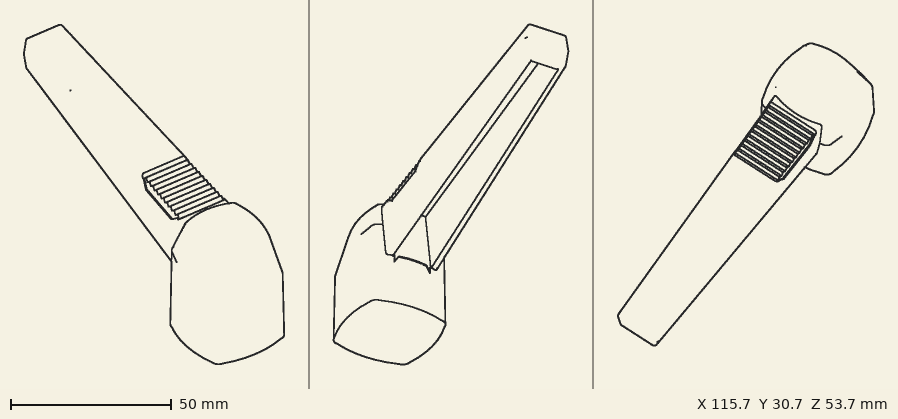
import cadquery as cq
import math


LENGTH = 115.7
BASE_WIDTH = 30.7
BASE_HALF = BASE_WIDTH / 2
PARTING_HALF = 14.9
TOP_HALF_X = 11.5
TOP_HALF_Y = 11.0
PARTING_HEIGHT = 26.5
PARTING_TILT = 12.0
TOP_HEIGHT = 39.6
TOP_TILT = 3.0
SIDE_SPAN = 0.72
SIDE_BULGE = 0.12
CORNER_POINT = 0.83
TOP_FILLET = 1.0

TIP_X = BASE_HALF - LENGTH
TIP_TOP = 53.9
TIP_MIDDLE = 48.2
TIP_BOTTOM = 41.9
TIP_HALF_WIDTHS = (6.7, 7.6, 6.6)
ROOT_TOP = 36.8
ROOT_BOTTOM = 14.1
ROOT_HALF_WIDTHS = (9.0, 10.3, 9.5)
ARM_FILLET = 0.9
EDGE_REACH = 1.2

TIP_WALL = 2.3
ROOF_WALL = 2.2
CHANNEL_TIP_HALF_WIDTHS = (3.4, 4.9)
CHANNEL_ROOT_HALF_WIDTHS = (5.1, 7.0)
CHANNEL_END_X = -5.8
END_RECESS = 0.3
NOTCH_INNER = 4.9
NOTCH_OUTER = 6.4
NOTCH_DEPTH = 2.3

GROOVE_COUNT = 11
GROOVE_PITCH = 2.0
GROOVE_DEPTH = 1.0
FIRST_GROOVE_X = -33.8
GRIP_HALF_WIDTH = 8.1
GRIP_SIDE_HEIGHT = 3.6
GRIP_SIDE_DRAFT = 7.0
GRIP_TOP_START, GRIP_TOP_END = -34.1, -13.7
GRIP_BOTTOM_START, GRIP_BOTTOM_END = -31.7, -17.4
GRIP_CUT_DEPTH = 5.8

top_slope = (ROOT_TOP - TIP_TOP) / -TIP_X
bottom_slope = (ROOT_BOTTOM - TIP_BOTTOM) / -TIP_X


def arm_top(x):
    return ROOT_TOP + top_slope * x


def arm_bottom(x):
    return ROOT_BOTTOM + bottom_slope * x


def hub_section(height, tilt, half_x, half_y):
    """Bulged rounded square on a plane that falls towards +X by tilt degrees."""
    angle = math.radians(tilt)
    plane = cq.Plane(
        origin=(0, 0, height),
        xDir=(math.cos(angle), 0, -math.sin(angle)),
        normal=(math.sin(angle), 0, math.cos(angle)),
    )
    stretch = half_x / math.cos(angle)
    shoulder = 1 - SIDE_BULGE

    def at(u, v):
        return (u * stretch, v * half_y)

    return (
        cq.Workplane(plane)
        .moveTo(*at(shoulder, -SIDE_SPAN))
        .threePointArc(at(1, 0), at(shoulder, SIDE_SPAN))
        .threePointArc(at(CORNER_POINT, CORNER_POINT), at(SIDE_SPAN, shoulder))
        .threePointArc(at(0, 1), at(-SIDE_SPAN, shoulder))
        .threePointArc(at(-CORNER_POINT, CORNER_POINT), at(-shoulder, SIDE_SPAN))
        .threePointArc(at(-1, 0), at(-shoulder, -SIDE_SPAN))
        .threePointArc(at(-CORNER_POINT, -CORNER_POINT), at(-SIDE_SPAN, -shoulder))
        .threePointArc(at(0, -1), at(SIDE_SPAN, -shoulder))
        .threePointArc(at(CORNER_POINT, -CORNER_POINT), at(shoulder, -SIDE_SPAN))
        .close()
        .val()
    )


def ruled_solid(sections):
    return cq.Workplane(cq.Solid.makeLoft(sections, True))


def cross_section(x, half_outline):
    """Closed section at x, mirrored about Y = 0, from (half width, height) pairs."""
    right_side = [cq.Vector(x, y, z) for y, z in half_outline]
    left_side = [cq.Vector(x, -y, z) for y, z in reversed(half_outline)]
    return cq.Wire.makePolygon(right_side + left_side, close=True)


def make_hub():
    base = hub_section(0, 0, BASE_HALF, BASE_HALF)
    parting = hub_section(PARTING_HEIGHT, PARTING_TILT, PARTING_HALF, PARTING_HALF)
    top = hub_section(TOP_HEIGHT, TOP_TILT, TOP_HALF_X, TOP_HALF_Y)
    lower = ruled_solid([base, parting])
    upper = ruled_solid([parting, top]).faces(">Z").edges().fillet(TOP_FILLET)
    return lower.union(upper)


def make_arm():
    tip_heights = (TIP_TOP, TIP_MIDDLE, TIP_BOTTOM)
    root_heights = (ROOT_TOP, PARTING_HEIGHT, ROOT_BOTTOM)
    tip = cross_section(TIP_X, list(zip(TIP_HALF_WIDTHS, tip_heights)))
    root = cross_section(0, list(zip(ROOT_HALF_WIDTHS, root_heights)))
    arm = ruled_solid([tip, root])
    rounded = arm.faces("<X").edges()
    middle_x = TIP_X / 2
    for height in (arm_top(middle_x), arm_bottom(middle_x)):
        lengthwise = cq.selectors.BoxSelector(
            (middle_x - EDGE_REACH, -BASE_HALF, height - EDGE_REACH),
            (middle_x + EDGE_REACH, BASE_HALF, height + EDGE_REACH),
        )
        rounded = rounded.add(arm.edges(lengthwise))
    return arm.newObject(rounded.vals()).fillet(ARM_FILLET)


def make_channel():
    """Tapered channel, ended by a face parallel to the lower hub wall."""
    start_x = TIP_X + TIP_WALL
    sections = []
    for x, half_widths in (
        (start_x, CHANNEL_TIP_HALF_WIDTHS),
        (CHANNEL_END_X, CHANNEL_ROOT_HALF_WIDTHS),
    ):
        heights = (arm_top(x) - ROOF_WALL, arm_bottom(x))
        sections.append(cross_section(x, list(zip(half_widths, heights))))
    channel = ruled_solid(sections)

    mouth_z = arm_bottom(-PARTING_HALF)
    for side in (1, -1):
        notch = (
            cq.Workplane("YZ", origin=(CHANNEL_END_X, 0, 0))
            .polyline([
                (side * NOTCH_INNER, mouth_z),
                (side * NOTCH_OUTER, mouth_z),
                (side * NOTCH_OUTER, mouth_z - NOTCH_DEPTH),
            ])
            .close()
            .extrude(-BASE_HALF)
        )
        channel = channel.union(notch)

    draft = (BASE_HALF - PARTING_HALF) / PARTING_HEIGHT
    end_half = BASE_HALF - draft * TIP_TOP
    core = ruled_solid([
        hub_section(0, 0, BASE_HALF, BASE_HALF),
        hub_section(TIP_TOP, 0, end_half, end_half),
    ])
    return channel.cut(core.translate((END_RECESS, 0, 0)))


def cut_grip(arm):
    half_pitch = GROOVE_PITCH / 2
    for i in range(GROOVE_COUNT):
        x = FIRST_GROOVE_X + i * GROOVE_PITCH
        groove = (
            cq.Workplane("XZ")
            .polyline([
                (x - half_pitch, arm_top(x - half_pitch)),
                (x, arm_top(x) - GROOVE_DEPTH),
                (x + half_pitch, arm_top(x + half_pitch)),
                (x, arm_top(x) + GROOVE_DEPTH),
            ])
            .close()
            .extrude(BASE_HALF, both=True)
        )
        arm = arm.cut(groove)

    grip_side = (
        cq.Workplane("XZ")
        .polyline([
            (GRIP_TOP_START, arm_top(GRIP_TOP_START)),
            (GRIP_BOTTOM_START, arm_top(GRIP_BOTTOM_START) - GRIP_SIDE_HEIGHT),
            (GRIP_BOTTOM_END, arm_top(GRIP_BOTTOM_END) - GRIP_SIDE_HEIGHT),
            (GRIP_TOP_END, arm_top(GRIP_TOP_END)),
            (GRIP_TOP_END, TIP_TOP),
            (GRIP_TOP_START, TIP_TOP),
        ])
        .close()
        .extrude(GRIP_CUT_DEPTH)
    )
    pivot_z = arm_top((GRIP_TOP_START + GRIP_TOP_END) / 2)
    outer_side = (
        grip_side.translate((0, -GRIP_HALF_WIDTH, 0))
        .rotate((0, -GRIP_HALF_WIDTH, pivot_z), (1, -GRIP_HALF_WIDTH, pivot_z), -GRIP_SIDE_DRAFT)
    )
    return arm.cut(outer_side).cut(outer_side.mirror("XZ"))


result = make_hub().union(cut_grip(make_arm())).cut(make_channel())